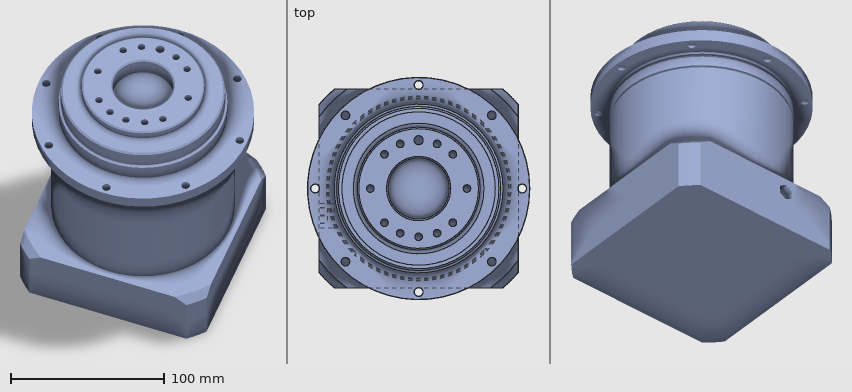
import cadquery as cq
import math

total_height = 165.0

base_side = 130.0
base_height = 40.0
corner_diameter = 170.0
corner_bevel = 5.0

barrel_diameter = 120.0
barrel_top = 116.8
barrel_chamfer_width = 0.8
barrel_chamfer_height = 1.6
collar_diameter = 120.6
seal_groove_diameter = 117.2
seal_groove_bottom = 123.9
seal_groove_top = 126.4

flange_diameter = 145.0
flange_thickness = 8.4
flange_top = 136.5
flange_bottom = flange_top - flange_thickness
flange_bolt_circle = 135.0
flange_hole_diameter = 5.6
flange_hole_count = 8

pilot_diameter = 110.0
pilot_top = 147.7
pilot_chamfer_height = 1.0
nose_diameter = 107.0
nose_top = 159.0
nose_chamfer = 1.2

shaft_diameter = 80.0
shaft_chamfer = 1.0
shoulder_diameter = 85.1
seal_outer_diameter = 100.0
seal_depth = 9.9
seal_bottom = nose_top - seal_depth
bore_diameter = 40.0
bore_depth = 12.0
bore_chamfer = 1.0
output_bolt_circle = 63.0
output_hole_diameter = 5.0
output_hole_depth = 9.9
output_hole_angles = [0, 45, 67.5, 112.5, 135, 180, 225, 247.5, 270, 292.5, 315]
drill_point_angle = 118.0
dowel_hole_diameter = 6.0
dowel_hole_depth = 9.9
dowel_hole_angle = 90

plug_diameter = 16.0
plug_length = 9.9
plug_y = -17.7
plug_z = 29.4
socket_width = 10.0
socket_depth = 5.6
socket_sides = 6
socket_turn = 93.0


def disc(diameter, bottom, top):
    """Cylinder on the Z axis between two heights."""
    return cq.Workplane("XY").workplane(offset=bottom).circle(diameter / 2).extrude(top - bottom)


def polar_points(circle_diameter, angles):
    """Points on a circle around the Z axis."""
    radius = circle_diameter / 2
    return [(radius * math.cos(math.radians(a)), radius * math.sin(math.radians(a))) for a in angles]


def make_base():
    """Square block with turned, bevelled corners."""
    square = cq.Workplane("XY").rect(base_side, base_side).extrude(base_height)
    turned = disc(corner_diameter, 0, base_height).faces(">Z").chamfer(corner_bevel)
    return square.intersect(turned)


def make_plug_blank():
    """Plain plug cylinder, which is also the shape of its hole in the base."""
    return (
        cq.Workplane("YZ", origin=(-base_side / 2, plug_y, plug_z))
        .circle(plug_diameter / 2)
        .extrude(plug_length)
    )


def make_plug():
    """Plug with a hexagon socket in its outer end."""
    socket = (
        cq.Workplane("YZ", origin=(-base_side / 2, plug_y, plug_z))
        .transformed(rotate=(0, 0, socket_turn))
        .polygon(socket_sides, socket_width / math.cos(math.pi / socket_sides))
        .extrude(socket_depth)
    )
    return make_plug_blank().cut(socket)


def make_flange():
    """Mounting flange with its ring of through holes."""
    holes = (
        cq.Workplane("XY", origin=(0, 0, flange_bottom))
        .polarArray(flange_bolt_circle / 2, 0, 360, flange_hole_count)
        .circle(flange_hole_diameter / 2)
        .extrude(flange_thickness)
    )
    return disc(flange_diameter, flange_bottom, flange_top).cut(holes)


def make_housing():
    """Base, barrel, collar, flange, pilot and nose, with recesses for the seal, shaft and plug."""
    body = make_base()
    barrel = disc(barrel_diameter, base_height, barrel_top)
    body = body.union(barrel.faces(">Z").chamfer(barrel_chamfer_height, barrel_chamfer_width))
    body = body.union(disc(collar_diameter, barrel_top, seal_groove_bottom))
    body = body.union(disc(seal_groove_diameter, seal_groove_bottom, seal_groove_top))
    body = body.union(disc(collar_diameter, seal_groove_top, flange_bottom))
    body = body.union(make_flange())
    pilot_chamfer_width = (pilot_diameter - nose_diameter) / 2
    pilot = disc(pilot_diameter, flange_top, pilot_top)
    body = body.union(pilot.faces(">Z").chamfer(pilot_chamfer_height, pilot_chamfer_width))
    body = body.union(disc(nose_diameter, pilot_top, nose_top).faces(">Z").chamfer(nose_chamfer))
    body = body.cut(disc(seal_outer_diameter, seal_bottom, nose_top))
    return body.cut(make_plug_blank())


def make_seal():
    """Flat ring between the shaft shoulder and the nose."""
    ring = disc(seal_outer_diameter, seal_bottom, nose_top)
    return ring.cut(disc(shoulder_diameter, seal_bottom, nose_top))


def make_drill():
    """Blind drilled hole on the Z axis, with a conical bottom."""
    radius = output_hole_diameter / 2
    hole_bottom = total_height - output_hole_depth
    tip_depth = radius / math.tan(math.radians(drill_point_angle / 2))
    return (
        cq.Workplane("XZ")
        .moveTo(0, total_height)
        .lineTo(radius, total_height)
        .lineTo(radius, hole_bottom)
        .lineTo(0, hole_bottom - tip_depth)
        .close()
        .revolve(360, (0, 0, 0), (0, 1, 0))
    )


def make_shaft():
    """Output shaft with a blind bore, a ring of drilled holes and one dowel hole."""
    shaft = disc(shaft_diameter, nose_top, total_height).faces(">Z").chamfer(shaft_chamfer)
    shaft = shaft.union(disc(shoulder_diameter, seal_bottom, nose_top))

    shaft = shaft.cut(disc(bore_diameter, total_height - bore_depth, total_height))
    shaft = shaft.faces(">Z").edges(cq.selectors.RadiusNthSelector(0)).chamfer(bore_chamfer)

    drill = make_drill()
    for x, y in polar_points(output_bolt_circle, output_hole_angles):
        shaft = shaft.cut(drill.translate((x, y, 0)))
    dowel_hole = disc(dowel_hole_diameter, total_height - dowel_hole_depth, total_height)
    for x, y in polar_points(output_bolt_circle, [dowel_hole_angle]):
        shaft = shaft.cut(dowel_hole.translate((x, y, 0)))
    return shaft


housing = make_housing()
seal = make_seal()
shaft = make_shaft()
plug = make_plug()
result = cq.Compound.makeCompound([housing.val(), seal.val(), shaft.val(), plug.val()])